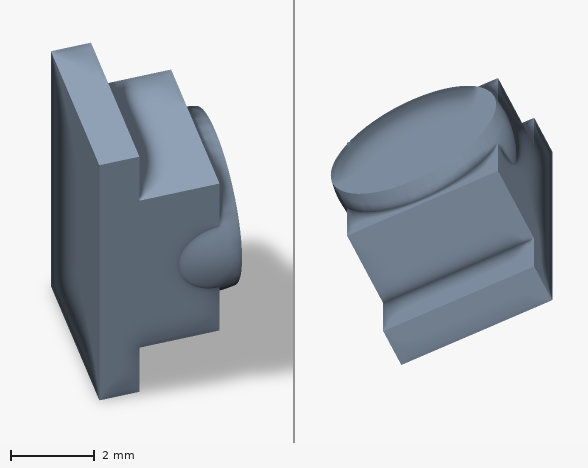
import cadquery as cq

plate_height = 8.0
plate_thickness = 1.0
width = 4.0

block_height = 5.0
block_depth = 2.0
block_back = plate_thickness + block_depth

ball_radius = 2.25
ball_protrusion = 0.5
flat_back = block_back + ball_protrusion


def upright_box(depth, height, front):
    """Box centred on X and Z, running back from Y = front."""
    return cq.Workplane("XY").box(width, depth, height).translate((0, front + depth / 2, 0))


plate = upright_box(plate_thickness, plate_height, 0)
block = upright_box(block_depth, block_height, plate_thickness)

ball = (
    cq.Workplane("XY", origin=(0, block_back, 0))
    .moveTo(-ball_radius, 0)
    .threePointArc((0, ball_radius), (ball_radius, 0))
    .close()
    .revolve(360, (0, 0), (1, 0))
)
ball_envelope = (
    cq.Workplane("XY")
    .box(plate_height, flat_back, plate_height)
    .translate((0, flat_back / 2, 0))
)
ball = ball.intersect(ball_envelope)

result = plate.union(block).union(ball)